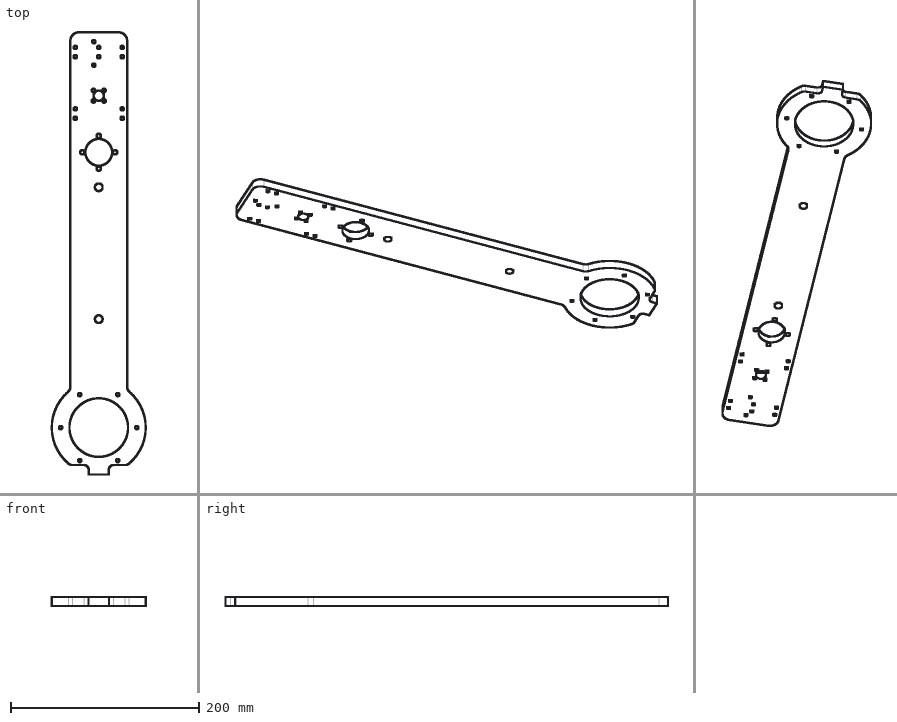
import cadquery as cq
import math

thickness = 10.0

ring_radius = 50.05
ring_bore_diameter = 62.0
flat_y = -40.0
flat_corner_radius = 6.5
tab_width = 21.5
tab_fillet = 4.5

overall_length = 470.0
arm_width = 60.5
arm_end_y = overall_length - ring_radius
arm_corner_radius = 9.5
neck_fillet = 7.0

screw_diameter = 3.5
ring_screw_count = 6
ring_screw_circle_radius = 40.5

dowel_diameter = 8.0
dowel_points = [(0, 115.0), (0, 255.0)]

bore_y = 292.5
bore_diameter = 28.0
bore_mount_diameter = 4.5
bore_mount_circle_radius = 17.5
bore_mount_count = 4

small_bore_y = 352.5
small_bore_diameter = 11.0
small_mount_offset = 5.5

row_hole_x = 25.0
lower_rows_y = [328.5, 338.5]
upper_rows_y = [394.0, 403.5]
offset_hole_x = -5.0
offset_holes_y = [385.0, 410.0]


def slab(width, y_min, y_max):
    """Plate of full thickness, centred on X, between two Y positions."""
    block = cq.Workplane("XY").box(width, y_max - y_min, thickness, centered=(True, False, False))
    return block.translate((0, y_min, 0))


def round_corner_pair(body, x, y, radius):
    """Round the two vertical edges standing at (-x, y) and (+x, y)."""
    reach = 0.25
    for side_x in (-x, x):
        corner = cq.selectors.BoxSelector(
            (side_x - reach, y - reach, -reach),
            (side_x + reach, y + reach, thickness + reach),
        )
        body = body.edges("|Z").edges(corner).fillet(radius)
    return body


def drill(body, points, diameter):
    """Cut through holes at the given XY points."""
    cutters = cq.Workplane("XY").pushPoints(points).circle(diameter / 2).extrude(thickness)
    return body.cut(cutters)


def circle_points(center_y, radius, count):
    """Equally spaced points on a circle centred on the Y axis, starting at +X."""
    angles = [2 * math.pi * i / count for i in range(count)]
    return [(radius * math.cos(a), center_y + radius * math.sin(a)) for a in angles]


def make_outline():
    """Ring with a flat and tab at one end, merged with the long arm."""
    disc = cq.Workplane("XY").circle(ring_radius).extrude(thickness)
    ring = disc.intersect(slab(2 * ring_radius, flat_y, ring_radius))
    body = ring.union(slab(arm_width, 0, arm_end_y)).union(slab(tab_width, -ring_radius, 0))

    neck_y = math.sqrt(ring_radius**2 - (arm_width / 2) ** 2)
    flat_corner_x = math.sqrt(ring_radius**2 - flat_y**2)
    body = round_corner_pair(body, arm_width / 2, arm_end_y, arm_corner_radius)
    body = round_corner_pair(body, arm_width / 2, neck_y, neck_fillet)
    body = round_corner_pair(body, flat_corner_x, flat_y, flat_corner_radius)
    return round_corner_pair(body, tab_width / 2, flat_y, tab_fillet)


def drill_ring(body):
    """Ring bore and its circle of screw holes."""
    body = drill(body, [(0, 0)], ring_bore_diameter)
    return drill(body, circle_points(0, ring_screw_circle_radius, ring_screw_count), screw_diameter)


def drill_arm_bores(body):
    """Large and small arm bores with their mounting holes, and the dowel holes."""
    body = drill(body, dowel_points, dowel_diameter)
    body = drill(body, [(0, bore_y)], bore_diameter)
    bore_mounts = circle_points(bore_y, bore_mount_circle_radius, bore_mount_count)
    body = drill(body, bore_mounts, bore_mount_diameter)

    body = drill(body, [(0, small_bore_y)], small_bore_diameter)
    signs = (-1, 1)
    small_mounts = [
        (sx * small_mount_offset, small_bore_y + sy * small_mount_offset) for sx in signs for sy in signs
    ]
    return drill(body, small_mounts, screw_diameter)


def drill_end_screws(body):
    """Screw holes around the free end of the arm."""
    edge_holes = [(x, y) for x in (-row_hole_x, row_hole_x) for y in lower_rows_y + upper_rows_y]
    center_holes = [(0, y) for y in upper_rows_y]
    offset_holes = [(offset_hole_x, y) for y in offset_holes_y]
    return drill(body, edge_holes + center_holes + offset_holes, screw_diameter)


result = drill_end_screws(drill_arm_bores(drill_ring(make_outline())))